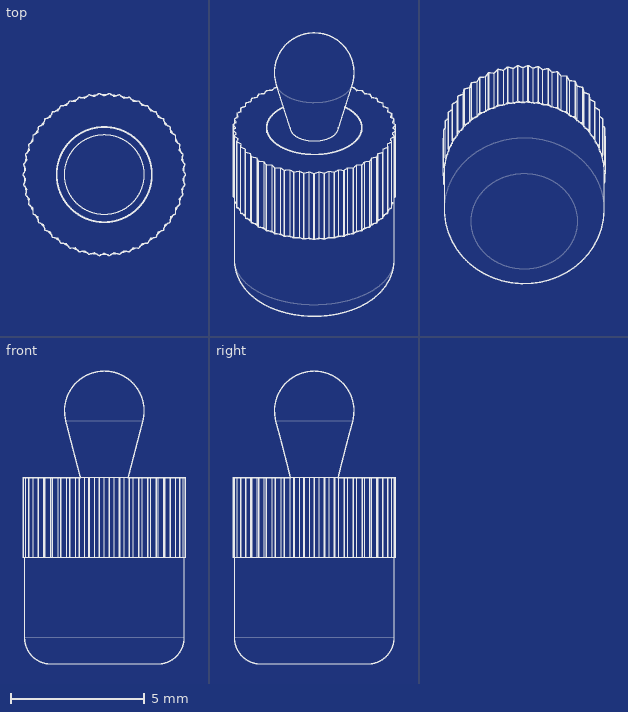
import cadquery as cq
import math

BODY_RADIUS = 3.0
BODY_HEIGHT = 7.0
BOTTOM_FILLET = 1.0
KNURL_HEIGHT = 3.0
KNURL_RADIUS = 3.05
VALLEY_RADIUS = 2.95
TOOTH_COUNT = 50
TOOTH_TIP_WIDTH = 0.025

BORE_RADIUS = 1.8
BORE_DEPTH = 3.0
BORE_FLOOR_Z = BODY_HEIGHT - BORE_DEPTH

SEAL_GAP = 0.025
SEAL_RADIUS = BORE_RADIUS - SEAL_GAP

OVERALL_HEIGHT = 11.0
STEM_RADIUS = 0.9
BALL_RADIUS = 1.5
BALL_CENTRE_Z = OVERALL_HEIGHT - BALL_RADIUS


def polar_point(radius, angle):
    return (radius * math.cos(angle), radius * math.sin(angle))


def make_knurl_band():
    """Band of straight teeth with narrow flat tips, one tooth on the +X axis."""
    pitch_angle = 2 * math.pi / TOOTH_COUNT
    half_tip_angle = TOOTH_TIP_WIDTH / (2 * KNURL_RADIUS)
    outline = []
    for tooth in range(TOOTH_COUNT):
        tooth_angle = tooth * pitch_angle
        outline.append(polar_point(KNURL_RADIUS, tooth_angle - half_tip_angle))
        outline.append(polar_point(KNURL_RADIUS, tooth_angle + half_tip_angle))
        outline.append(polar_point(VALLEY_RADIUS, tooth_angle + pitch_angle / 2))
    band = cq.Workplane("XY").workplane(offset=BODY_HEIGHT - KNURL_HEIGHT)
    return band.polyline(outline).close().extrude(KNURL_HEIGHT)


def make_housing():
    lower_height = BODY_HEIGHT - KNURL_HEIGHT
    lower_body = cq.Workplane("XY").circle(BODY_RADIUS).extrude(lower_height)
    lower_body = lower_body.faces("<Z").edges().fillet(BOTTOM_FILLET)
    bore = cq.Workplane("XY").workplane(offset=BORE_FLOOR_Z).circle(BORE_RADIUS).extrude(BORE_DEPTH)
    return lower_body.union(make_knurl_band()).cut(bore)


def make_seal():
    ring = cq.Workplane("XY").workplane(offset=BORE_FLOOR_Z)
    return ring.circle(SEAL_RADIUS).circle(STEM_RADIUS).extrude(BORE_DEPTH)


def make_pin():
    ball_rise = BALL_CENTRE_Z - BODY_HEIGHT
    reach = math.hypot(STEM_RADIUS, ball_rise)
    cone_angle = math.atan2(ball_rise, STEM_RADIUS) - math.acos(BALL_RADIUS / reach)
    tangent_radius = BALL_RADIUS * math.cos(cone_angle)
    tangent_z = BALL_CENTRE_Z - BALL_RADIUS * math.sin(cone_angle)

    mid_angle = (math.pi / 2 - cone_angle) / 2
    mid_radius = BALL_RADIUS * math.cos(mid_angle)
    mid_z = BALL_CENTRE_Z + BALL_RADIUS * math.sin(mid_angle)

    profile = (
        cq.Workplane("XZ")
        .moveTo(0, BORE_FLOOR_Z)
        .lineTo(STEM_RADIUS, BORE_FLOOR_Z)
        .lineTo(STEM_RADIUS, BODY_HEIGHT)
        .lineTo(tangent_radius, tangent_z)
        .threePointArc((mid_radius, mid_z), (0, OVERALL_HEIGHT))
        .close()
    )
    return profile.revolve(360, (0, 0, 0), (0, 1, 0))


housing = make_housing()
seal = make_seal()
pin = make_pin()

result = cq.Compound.makeCompound([housing.val(), seal.val(), pin.val()])